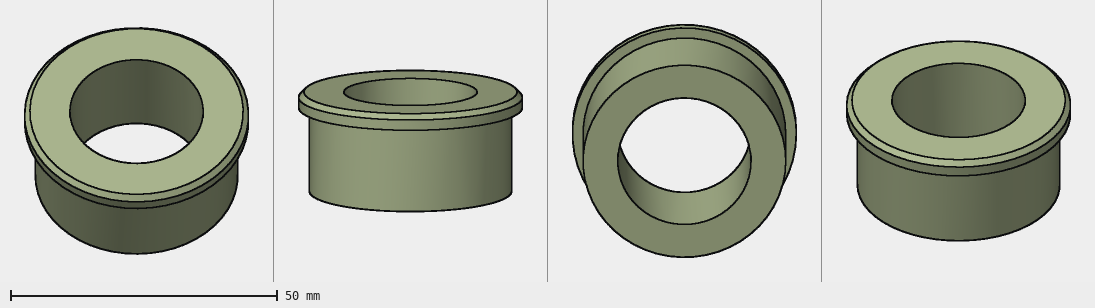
import cadquery as cq

flange_diameter = 42.0
flange_thickness = 3.0
flange_chamfer = 1.0
body_diameter = 38.0
bore_diameter = 25.0
total_height = 19.0

body_height = total_height - flange_thickness

body = cq.Workplane("XY").circle(body_diameter / 2).extrude(body_height)

flange = (
    cq.Workplane("XY")
    .workplane(offset=body_height)
    .circle(flange_diameter / 2)
    .extrude(flange_thickness)
    .faces(">Z")
    .edges()
    .chamfer(flange_chamfer)
)

bore = cq.Workplane("XY").circle(bore_diameter / 2).extrude(total_height)

result = body.union(flange).cut(bore)